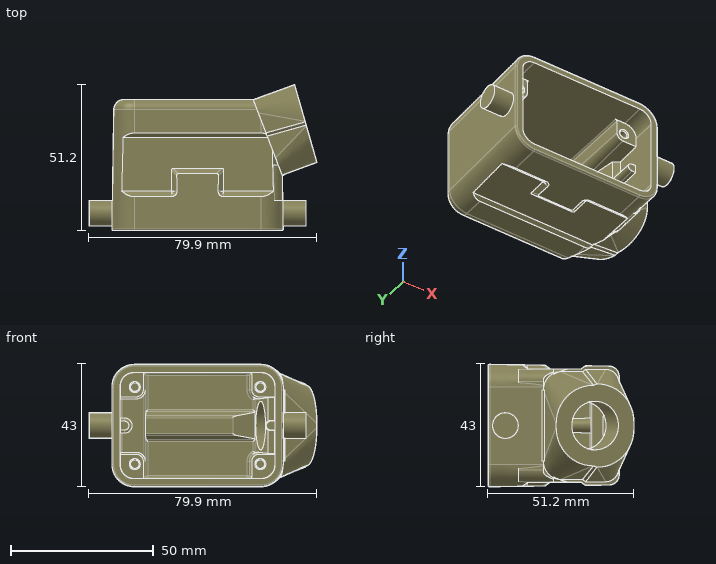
import math

import cadquery as cq

DEPTH = 46.0
RIM_WIDTH = 60.1
RIM_HEIGHT = 43.0
RIM_CORNER_RADIUS = 7.9
SHELL_DRAFT = 0.85
BACK_FILLET = 3.7
RIM_FILLET = 0.6

CAVITY_WIDTH = 54.3
CAVITY_HEIGHT = 37.2
CAVITY_CORNER_RADIUS = 4.8
CAVITY_DRAFT = 0.4
FLOOR_Y = 43.2
FLOOR_FILLET = 0.8

POST_FACE_Y = 9.3
POST_INNER_X = 19.0
POST_INNER_Z = 10.05
POST_CORNER_RADIUS = 2.5
POST_DRAFT = 1.5
POST_ROOT_FILLET = 0.6
SCREW_X = 22.0
SCREW_Z = 13.5
SCREW_DIAMETER = 3.0
SCREW_MOUTH_DIAMETER = 3.85
SCREW_DEPTH = 12.0

LEDGE_Y = 36.0
LEDGE_FILLET = 0.5
WALL_SHELF_Y = 18.4
WALL_CHAMFER_X = 24.7
WALL_CHAMFER_DROP = 2.0
WALL_FOOT_X = 20.0

RAIL_FACE_Y = 9.6
RAIL_RADIUS = 1.55
RAIL_CENTRE_X = 25.6
LEFT_RAIL_DRAFT = 2.4
RIGHT_RAIL_DRAFT = 1.2

RIB_HEIGHT = 3.0
RIB_BASE_HALF = 5.2
RIB_TOP_HALF = 3.2
RIB_FILLET = 0.9
RIB_END_X = 20.5
RIB_RAMP_X = 12.4

PANEL_Z = 19.9
PANEL_FRONT_Y = 13.9
PANEL_BACK_Y = 32.65
PANEL_WALL_SLOPE = 1.4
TAB_HALF_WIDTH = 9.15
TAB_BACK_Y = 21.8
TAB_CORNER_RADIUS = 1.2

PIN_DIAMETER = 9.0
PIN_Y = 6.1
PIN_TIP_X = 38.0

PAD_INNER_X = 26.46
PAD_OUTER_X = 29.75
PAD_HALF_HEIGHT = 20.0
PAD_CORNER_RADIUS = 4.5
PAD_FRONT_Y = 10.6
PAD_BACK_Y = 23.0

NOZZLE_TILT = 16.0
TIP_MAX_X = 41.85
TIP_MAX_Y = 51.18
TIP_HALF_LENGTH = 14.2
TIP_BACK_HALF_HEIGHT = 14.6
TIP_FRONT_HALF_HEIGHT = 14.1
TIP_RADIUS = 13.4
BASE_BACK = (19.5, 45.9)
BASE_FRONT = (29.65, 19.4)
BASE_BACK_HALF_HEIGHT = 19.7
BASE_FRONT_HALF_HEIGHT = 18.9
BASE_BACK_RADIUS = 5.0
BASE_FRONT_RADIUS = 6.5
FLANK_STEP_WIDTH = 1.2
BASE_STEP_SHIFT = -1.1
BEAD_LENGTH = 0.9
BEAD_SLOPE = 19.0
BORE_DIAMETER = 17.0

OVERLAP = 10.0
EDGE_MARGIN = 0.1
SELECTION_REACH = 3.0
EMBED = 1.0


def depth_plane(y):
    """Plane facing +Y at depth y, with local x along +X and local y along -Z."""
    return cq.Plane(origin=(0, y, 0), xDir=(1, 0, 0), normal=(0, 1, 0))


def z_prism(points, half_height):
    """Prism of an XY outline, centred on z = 0."""
    return cq.Workplane("XY").polyline(points).close().extrude(half_height, both=True)


def shell():
    block = (
        cq.Workplane(depth_plane(0))
        .sketch()
        .rect(RIM_WIDTH, RIM_HEIGHT)
        .vertices()
        .fillet(RIM_CORNER_RADIUS)
        .finalize()
        .extrude(DEPTH, taper=SHELL_DRAFT)
    )
    block = block.faces(">Y").edges().fillet(BACK_FILLET)
    return block.faces("<Y").edges().fillet(RIM_FILLET)


def beyond_nozzle_base():
    """Region on the outer side of the plane where the nozzle meets the shell."""
    far_x = RIM_WIDTH
    slope = (BASE_BACK[0] - BASE_FRONT[0]) / (BASE_BACK[1] - BASE_FRONT[1])
    far_y = DEPTH + OVERLAP
    back_x = BASE_FRONT[0] + slope * (far_y - BASE_FRONT[1])
    return z_prism([BASE_FRONT, (far_x, BASE_FRONT[1]), (far_x, far_y), (back_x, far_y)], RIM_HEIGHT)


def nozzle_pad():
    """Shallow pad that squares up the +X corners between the pin and the nozzle."""
    outer = (
        cq.Workplane(depth_plane(PAD_FRONT_Y))
        .sketch()
        .rect(2 * PAD_OUTER_X, 2 * PAD_HALF_HEIGHT)
        .vertices()
        .fillet(PAD_CORNER_RADIUS)
        .finalize()
        .extrude(PAD_BACK_Y - PAD_FRONT_Y)
    )
    inner_half = z_prism(
        [(-RIM_WIDTH, 0), (PAD_INNER_X, 0), (PAD_INNER_X, DEPTH), (-RIM_WIDTH, DEPTH)], RIM_HEIGHT
    )
    return outer.cut(inner_half)


def panel_cutter():
    """Recess with sloping walls; a tab of the front band reaches into its front edge."""
    far_x = RIM_WIDTH / 2 + OVERLAP
    outline = [
        (-far_x, PANEL_FRONT_Y),
        (-TAB_HALF_WIDTH, PANEL_FRONT_Y),
        (-TAB_HALF_WIDTH, TAB_BACK_Y),
        (TAB_HALF_WIDTH, TAB_BACK_Y),
        (TAB_HALF_WIDTH, PANEL_FRONT_Y),
        (far_x, PANEL_FRONT_Y),
        (far_x, PANEL_BACK_Y),
        (-far_x, PANEL_BACK_Y),
    ]
    wall_angle = math.degrees(math.atan(PANEL_WALL_SLOPE))
    height = RIM_HEIGHT / 2 - PANEL_Z + EDGE_MARGIN
    recess = (
        cq.Workplane("XY", origin=(0, 0, PANEL_Z))
        .polyline(outline)
        .close()
        .extrude(height, taper=-wall_angle)
    )
    tab_zone = cq.selectors.BoxSelector(
        (-TAB_HALF_WIDTH - SELECTION_REACH, PANEL_FRONT_Y - SELECTION_REACH, PANEL_Z + EDGE_MARGIN),
        (TAB_HALF_WIDTH + SELECTION_REACH, TAB_BACK_Y + SELECTION_REACH, PANEL_Z + height - EDGE_MARGIN),
    )
    return recess.edges("not(#Z or |X or |Y)").edges(tab_zone).fillet(TAB_CORNER_RADIUS)


def pins():
    return (
        cq.Workplane("YZ", origin=(-PIN_TIP_X, PIN_Y, 0))
        .circle(PIN_DIAMETER / 2)
        .extrude(2 * PIN_TIP_X)
    )


def tip_centre():
    tilt = math.radians(NOZZLE_TILT)
    x = TIP_MAX_X - TIP_HALF_LENGTH * math.sin(tilt)
    y = TIP_MAX_Y - TIP_HALF_LENGTH * math.cos(tilt)
    return x, y


def nozzle_section(centre, along, half_length, back_half, front_half, back_radius, front_radius, step_shift):
    """Closed outline spanned by the XY direction `along` and Z, with a small step in each flank."""
    plane = cq.Plane(origin=(*centre, 0), xDir=(*along, 0), normal=(-along[1], along[0], 0))
    step_start = step_shift - FLANK_STEP_WIDTH / 2
    step_end = step_shift + FLANK_STEP_WIDTH / 2
    return (
        cq.Workplane(plane)
        .moveTo(-half_length, -back_half + back_radius)
        .lineTo(-half_length, back_half - back_radius)
        .radiusArc((-half_length + back_radius, back_half), back_radius)
        .lineTo(step_start, back_half)
        .lineTo(step_end, front_half)
        .lineTo(half_length - front_radius, front_half)
        .radiusArc((half_length, front_half - front_radius), front_radius)
        .lineTo(half_length, -front_half + front_radius)
        .radiusArc((half_length - front_radius, -front_half), front_radius)
        .lineTo(step_end, -front_half)
        .lineTo(step_start, -back_half)
        .lineTo(-half_length + back_radius, -back_half)
        .radiusArc((-half_length, -back_half + back_radius), back_radius)
        .close()
        .val()
    )


def nozzle():
    """Straight-sided blend from the slanted shell corner to the nearly round tip."""
    run = (BASE_FRONT[0] - BASE_BACK[0], BASE_FRONT[1] - BASE_BACK[1])
    base_length = math.hypot(*run)
    base_along = (run[0] / base_length, run[1] / base_length)
    base_centre = ((BASE_FRONT[0] + BASE_BACK[0]) / 2, (BASE_FRONT[1] + BASE_BACK[1]) / 2)
    tilt = math.radians(NOZZLE_TILT)
    tip_along = (math.sin(tilt), -math.cos(tilt))
    base = nozzle_section(
        base_centre,
        base_along,
        base_length / 2,
        BASE_BACK_HALF_HEIGHT,
        BASE_FRONT_HALF_HEIGHT,
        BASE_BACK_RADIUS,
        BASE_FRONT_RADIUS,
        BASE_STEP_SHIFT,
    )
    tip = nozzle_section(
        tip_centre(),
        tip_along,
        TIP_HALF_LENGTH,
        TIP_BACK_HALF_HEIGHT,
        TIP_FRONT_HALF_HEIGHT,
        TIP_RADIUS,
        TIP_RADIUS,
        0,
    )
    return cq.Workplane(cq.Solid.makeLoft([base, tip], True))


def nozzle_bead():
    """Concave bead in the inside corner between the +X wall and the nozzle."""
    corner_x, corner_y = BASE_FRONT
    return (
        cq.Workplane("XY")
        .moveTo(corner_x, corner_y - BEAD_LENGTH)
        .threePointArc(
            (corner_x + BEAD_LENGTH / 3, corner_y - BEAD_LENGTH / 6),
            (corner_x + BEAD_LENGTH, corner_y + BEAD_LENGTH * math.tan(math.radians(BEAD_SLOPE))),
        )
        .lineTo(corner_x, corner_y + BEAD_LENGTH)
        .close()
        .extrude(BASE_FRONT_HALF_HEIGHT - BASE_FRONT_RADIUS, both=True)
    )


def bore():
    """Cable bore along the nozzle axis, running inward until it opens into the cavity."""
    tilt = math.radians(NOZZLE_TILT)
    start = cq.Vector(*tip_centre(), 0)
    inward = cq.Vector(-math.cos(tilt), -math.sin(tilt), 0)
    length = start.x - WALL_FOOT_X
    outside = start - inward * OVERLAP
    return cq.Workplane(cq.Solid.makeCylinder(BORE_DIAMETER / 2, length + OVERLAP, outside, inward))


def cavity_envelope():
    return (
        cq.Workplane(depth_plane(0))
        .sketch()
        .rect(CAVITY_WIDTH, CAVITY_HEIGHT)
        .vertices()
        .fillet(CAVITY_CORNER_RADIUS)
        .finalize()
        .extrude(FLOOR_Y, taper=CAVITY_DRAFT)
    )


def post(side_x, side_z):
    """Corner post that widens toward the floor; it runs outward into the shell walls."""
    outer_x = CAVITY_WIDTH / 2 + OVERLAP
    outer_z = CAVITY_HEIGHT / 2 + OVERLAP
    width = outer_x - POST_INNER_X
    height = outer_z - POST_INNER_Z
    centre_x = side_x * (outer_x + POST_INNER_X) / 2
    centre_z = side_z * (outer_z + POST_INNER_Z) / 2
    return (
        cq.Workplane(depth_plane(POST_FACE_Y))
        .center(centre_x, -centre_z)
        .sketch()
        .rect(width, height)
        .vertices()
        .fillet(POST_CORNER_RADIUS)
        .finalize()
        .extrude(DEPTH - POST_FACE_Y, taper=-POST_DRAFT)
    )


def ledge():
    """Raised step joining the two left posts, with its edge flush with their sides."""
    outer_x = -CAVITY_WIDTH / 2 - EMBED
    post_slope = math.tan(math.radians(POST_DRAFT))
    edge_x = -POST_INNER_X + post_slope * (LEDGE_Y - POST_FACE_Y)
    root_x = -POST_INNER_X + post_slope * (DEPTH - POST_FACE_Y)
    outline = [(outer_x, LEDGE_Y), (edge_x, LEDGE_Y), (root_x, DEPTH), (outer_x, DEPTH)]
    return z_prism(outline, SCREW_Z).edges("|Z and <Y").edges(">X").fillet(LEDGE_FILLET)


def inclined_wall():
    """Wall that slopes from a small shelf down to the floor and carries the bore mouth."""
    outer_x = CAVITY_WIDTH / 2 + EMBED
    chamfer_y = WALL_SHELF_Y + WALL_CHAMFER_DROP
    outline = [
        (outer_x, WALL_SHELF_Y),
        (WALL_CHAMFER_X, chamfer_y),
        (WALL_FOOT_X, FLOOR_Y),
        (WALL_FOOT_X, DEPTH),
        (outer_x, DEPTH),
    ]
    return z_prism(outline, POST_INNER_Z + EMBED)


def rail(side_x, end_y, draft):
    """Half-round rail against an end wall, widening toward its root at end_y."""
    to_wall = OVERLAP
    return (
        cq.Workplane(depth_plane(RAIL_FACE_Y))
        .center(side_x * (RAIL_CENTRE_X + to_wall / 2), 0)
        .sketch()
        .slot(to_wall, 2 * RAIL_RADIUS)
        .finalize()
        .extrude(end_y + EMBED - RAIL_FACE_Y, taper=-draft)
    )


def rib():
    """Rib along the floor with sloping flanks, ramping down at the nozzle end."""
    top_y = FLOOR_Y - RIB_HEIGHT
    flank_slope = (RIB_BASE_HALF - RIB_TOP_HALF) / RIB_HEIGHT
    root_half = RIB_BASE_HALF + flank_slope * (DEPTH - FLOOR_Y)
    section = [(top_y, RIB_TOP_HALF), (DEPTH, root_half), (DEPTH, -root_half), (top_y, -RIB_TOP_HALF)]
    start_x = -POST_INNER_X
    bar = (
        cq.Workplane("YZ", origin=(start_x, 0, 0))
        .polyline(section)
        .close()
        .extrude(RIB_END_X - start_x)
    )
    far_x = RIB_END_X + OVERLAP
    ramp_drop = (far_x - RIB_RAMP_X) * math.tan(math.radians(NOZZLE_TILT))
    ramp = z_prism([(RIB_RAMP_X, top_y), (far_x, top_y), (far_x, top_y + ramp_drop)], RIB_BASE_HALF * 2)
    return bar.edges("|X and <Y").fillet(RIB_FILLET).cut(ramp)


def edges_within(shape, corner, opposite_corner):
    return shape.edges(cq.selectors.BoxSelector(corner, opposite_corner))


def cavity():
    space = cavity_envelope()
    for side_x in (-1, 1):
        for side_z in (-1, 1):
            space = space.cut(post(side_x, side_z))
    for side_z in (-1, 1):
        root_z = side_z * CAVITY_HEIGHT / 2
        near = (-POST_INNER_X - EMBED, POST_FACE_Y + EMBED, root_z - EMBED)
        far = (POST_INNER_X + EMBED, FLOOR_Y - EMBED, root_z + EMBED)
        space = edges_within(space, near, far).fillet(POST_ROOT_FILLET)
    space = space.cut(ledge()).cut(inclined_wall()).cut(rib())
    floor_near = (-CAVITY_WIDTH, FLOOR_Y - EDGE_MARGIN, -CAVITY_HEIGHT)
    floor_far = (CAVITY_WIDTH, FLOOR_Y + EDGE_MARGIN, CAVITY_HEIGHT)
    space = edges_within(space, floor_near, floor_far).fillet(FLOOR_FILLET)
    wall_near = (-CAVITY_WIDTH, LEDGE_Y - EDGE_MARGIN, -POST_INNER_Z)
    wall_far = (-SCREW_X, LEDGE_Y + EDGE_MARGIN, POST_INNER_Z)
    space = edges_within(space, wall_near, wall_far).edges("|Z").fillet(LEDGE_FILLET)
    space = space.cut(rail(-1, LEDGE_Y, LEFT_RAIL_DRAFT))
    return space.cut(rail(1, WALL_SHELF_Y + WALL_CHAMFER_DROP, RIGHT_RAIL_DRAFT))


def screw_holes():
    """Plain holes with a narrow countersunk mouth, one in each post."""
    centres = [(x, z) for x in (-SCREW_X, SCREW_X) for z in (-SCREW_Z, SCREW_Z)]
    mouth_depth = (SCREW_MOUTH_DIAMETER - SCREW_DIAMETER) / 2
    holes = cq.Workplane(depth_plane(POST_FACE_Y)).pushPoints(centres).circle(SCREW_DIAMETER / 2)
    mouths = cq.Workplane(depth_plane(POST_FACE_Y)).pushPoints(centres).circle(SCREW_MOUTH_DIAMETER / 2)
    return holes.extrude(SCREW_DEPTH).union(mouths.extrude(mouth_depth, taper=45))


result = shell().union(nozzle_pad()).cut(beyond_nozzle_base())
cutter = panel_cutter()
result = result.cut(cutter).cut(cutter.mirror("XY"))
result = result.union(nozzle()).union(nozzle_bead()).union(pins())
result = result.cut(cavity()).cut(bore()).cut(screw_holes())